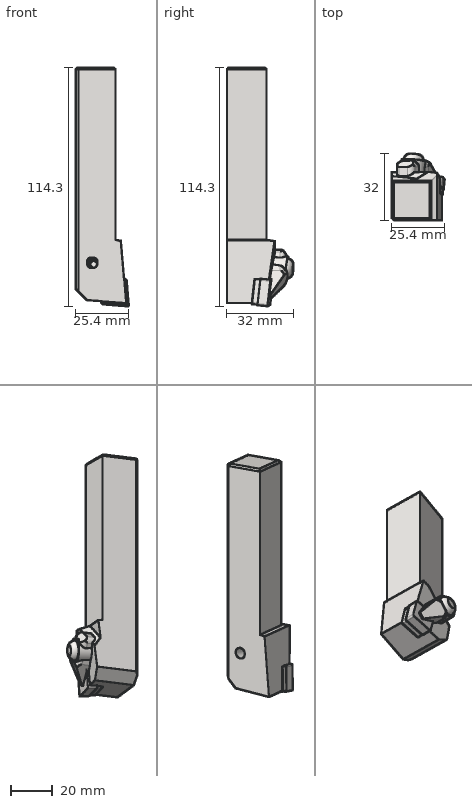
import cadquery as cq
import math


length = 114.3
shank_side = 19.1
edge_chamfer = 1.3
top_chamfer = 1.0

shoulder_z = 31.9
shoulder_right_x = 21.6
shoulder_right_z = 31.4
head_tip_x = 24.1
head_tip_z = 1.6
heel_x = 5.3
heel_bottom_z = 3.0
heel_side_z = 8.3
head_depth = 23.1
shoulder_fall = 10.0

tip_x = 25.4
clamp_heading = 54.0
rake = 9.5
rake_start_y = 18.2
ramp_top = 30.0
ramp_foot = 33.5
ramp_foot_y = 20.0

insert_side = 12.9
insert_angle = 80.0
nose_radius = 0.8
insert_thickness = 4.8
insert_heading = 45.0
insert_tilt = 8.4
insert_tip_y = 19.5
shim_thickness = 3.2
shim_margin = 0.2
shim_chamfer = 0.6

clamp_offset = 1.3
clamp_nose = 6.6
clamp_nose_y = 20.9
clamp_front = 18.5
clamp_top_y = 28.9
clamp_heel_top = 28.6
clamp_end = 32.0
clamp_end_y = 25.6
clamp_root_y = 18.9
clamp_width = 10.1
clamp_nose_width = 3.4
clamp_corner = 2.5
clamp_round = 3.4

screw_hole_x = 7.9
screw_hole_z = 20.9
screw_hole_diameter = 5.1
screw_hole_depth = 9.1
screw_end_height = 1.1
screw_end_diameter = 3.2
screw_top_x = 10.7
screw_top_z = 17.8
screw_top_y = 31.7
screw_cap_diameter = 9.8
screw_cap_flat = 5.3
screw_cap_height = 3.0
screw_cap_bulge = 0.4
boss_diameter = 11.4
boss_height = 9.1

clear = 34.3


def heading_vector(heading, rise=0.0):
    """Direction leaving the cutting point, turned up from -X and lifted toward +Y."""
    flat = math.cos(math.radians(rise))
    return cq.Vector(
        -math.cos(math.radians(heading)) * flat,
        math.sin(math.radians(rise)),
        math.sin(math.radians(heading)) * flat,
    )


def clamp_plane():
    """Plane with local x along the clamp from the cutting point and local y along +Y."""
    along = heading_vector(clamp_heading)
    return cq.Plane(origin=(tip_x, 0, 0), xDir=along, normal=along.cross(cq.Vector(0, 1, 0)))


def make_shank():
    shank = cq.Workplane("XY").box(shank_side, shank_side, length - heel_side_z, centered=False)
    return shank.translate((0, 0, heel_side_z)).faces(">Z").chamfer(top_chamfer)


def make_head():
    head = (
        cq.Workplane("XZ")
        .polyline([
            (0, shoulder_z),
            (shank_side, shoulder_z),
            (shoulder_right_x, shoulder_right_z),
            (head_tip_x, head_tip_z),
            (heel_x, heel_bottom_z),
            (0, heel_side_z),
        ])
        .close()
        .extrude(-head_depth)
    )
    return head.cut(shoulder_slope()).cut(rake_and_recess())


def shoulder_slope():
    drop = clear * math.tan(math.radians(shoulder_fall))
    return (
        cq.Workplane("YZ")
        .polyline([
            (shank_side, shoulder_z),
            (shank_side + clear, shoulder_z - drop),
            (shank_side + clear, shoulder_z),
        ])
        .close()
        .extrude(clear)
    )


def rake_and_recess():
    """Material above the raked back, the ramp and the floor of the clamp recess."""
    slope = math.tan(math.radians(rake))
    far = ramp_foot + clear
    profile = [
        (-clear, rake_start_y - clear * slope),
        (ramp_top, rake_start_y + ramp_top * slope),
        (ramp_foot, ramp_foot_y),
        (far, ramp_foot_y + clear * slope),
        (far, head_depth + clear),
        (-clear, head_depth + clear),
    ]
    return cq.Workplane(clamp_plane()).polyline(profile).close().extrude(clear, both=True)


def make_edge_chamfer():
    """Long bevel on the front left edge, over the whole tool."""
    return (
        cq.Workplane("XY")
        .polyline([(0, 0), (edge_chamfer, 0), (0, edge_chamfer)])
        .close()
        .extrude(length)
    )


def insert_plane(depth):
    """Tilted plane of the insert top, lowered by depth, with its origin at the nose centre."""
    along = heading_vector(insert_heading, insert_tilt)
    across = along.cross(cq.Vector(0, 1, 0)).normalized()
    normal = across.cross(along)
    nose_centre = cq.Vector(tip_x - nose_radius, insert_tip_y, nose_radius)
    return cq.Plane(origin=nose_centre - normal * depth, xDir=along, normal=normal)


def rhombic_plate(depth, thickness, margin):
    """Rounded rhombus with its sides set in by margin, its top at the given depth."""
    half_angle = math.radians(insert_angle / 2)
    half_length = insert_side * math.cos(half_angle)
    half_width = insert_side * math.sin(half_angle)
    centre = half_length - nose_radius / math.sin(half_angle)
    scale = 1 - 2 * margin / (insert_side * math.sin(2 * half_angle))
    plate = (
        cq.Workplane(insert_plane(depth))
        .polyline([
            (centre - half_length * scale, 0),
            (centre, -half_width * scale),
            (centre + half_length * scale, 0),
            (centre, half_width * scale),
        ])
        .close()
        .extrude(-thickness)
    )
    upright = plate.edges(cq.selectors.ParallelDirSelector(insert_plane(depth).zDir))
    return upright.fillet(nose_radius)


def make_insert():
    return rhombic_plate(0, insert_thickness, 0)


def make_shim():
    shim = rhombic_plate(insert_thickness, shim_thickness, shim_margin)
    underside = shim.faces(cq.selectors.DirectionMinMaxSelector(cq.Vector(0, -1, 0)))
    return underside.chamfer(shim_chamfer)


def clamp_side():
    """Clamp shape along its length: sloped finger, level back and bevelled heel."""
    return (
        cq.Workplane(clamp_plane())
        .polyline([
            (clamp_nose, clamp_root_y),
            (clamp_nose, clamp_nose_y),
            (clamp_front, clamp_top_y),
            (clamp_heel_top, clamp_top_y),
            (clamp_end, clamp_end_y),
            (clamp_end, clamp_root_y),
        ])
        .close()
        .extrude(clamp_width, both=True)
    )


def clamp_plan():
    """Clamp shape seen along Y: narrow finger widening to a round-cornered body."""
    centre = clamp_plane().toWorldCoords((0, 0, clamp_offset))
    plane = cq.Plane(origin=centre, xDir=heading_vector(clamp_heading), normal=(0, 1, 0))
    return (
        cq.Workplane(plane)
        .polyline([
            (clamp_nose, -clamp_nose_width / 2),
            (clamp_front, -clamp_width / 2),
            (clamp_end, -clamp_width / 2),
            (clamp_end, clamp_width / 2),
            (clamp_front, clamp_width / 2),
            (clamp_nose, clamp_nose_width / 2),
        ])
        .close()
        .extrude(clamp_top_y)
        .edges("|Y")
        .edges(cq.selectors.DirectionMinMaxSelector(heading_vector(clamp_heading)))
        .fillet(clamp_corner)
    )


def clamp_section():
    """Clamp shape seen along its length: upright sides with a rounded back."""
    along = heading_vector(clamp_heading)
    centre = clamp_plane().toWorldCoords((0, 0, clamp_offset))
    plane = cq.Plane(origin=centre, xDir=along.cross(cq.Vector(0, 1, 0)), normal=along)
    return (
        cq.Workplane(plane)
        .rect(clamp_width, 2 * clamp_top_y)
        .extrude(clear)
        .edges(cq.selectors.ParallelDirSelector(along))
        .fillet(clamp_round)
    )


def make_clamp():
    return clamp_side().intersect(clamp_plan()).intersect(clamp_section())


def screw_ends():
    """Centre of the hole at the front of the head, and of the flat on the screw head."""
    return cq.Vector(screw_hole_x, 0, screw_hole_z), cq.Vector(screw_top_x, screw_top_y, screw_top_z)


def screw_plane(distance):
    """Plane across the clamp screw, at a distance in from the front of the hole."""
    start, top = screw_ends()
    axis = (top - start).normalized()
    return cq.Plane(origin=start + axis * distance, xDir=(1, 0, 0), normal=axis)


def make_screw_boss():
    """Round boss of the clamp with the domed screw head on top."""
    start, top = screw_ends()
    axis = top - start
    cap_radius = screw_cap_diameter / 2
    flat_radius = screw_cap_flat / 2
    bulge = ((cap_radius + flat_radius) / 2 + screw_cap_bulge, -screw_cap_height / 2 + screw_cap_bulge)
    across = axis.cross(cq.Vector(0, 0, 1))
    plane = cq.Plane(origin=top, xDir=across, normal=across.cross(axis))
    return (
        cq.Workplane(plane)
        .lineTo(flat_radius, 0)
        .threePointArc(bulge, (cap_radius, -screw_cap_height))
        .lineTo(boss_diameter / 2, -screw_cap_height)
        .lineTo(boss_diameter / 2, -screw_cap_height - boss_height)
        .lineTo(0, -screw_cap_height - boss_height)
        .close()
        .revolve(360, (0, 0), (0, 1))
    )


def make_screw_hole():
    """Blind hole whose floor carries the tapered end of the screw."""
    hole = (
        cq.Workplane(screw_plane(-screw_hole_depth))
        .circle(screw_hole_diameter / 2)
        .extrude(2 * screw_hole_depth)
    )
    end = (
        cq.Workplane(screw_plane(screw_hole_depth))
        .circle(screw_hole_diameter / 2)
        .workplane(offset=-screw_end_height)
        .circle(screw_end_diameter / 2)
        .loft()
    )
    return hole.cut(end)


insert = make_insert()

holder = (
    make_shank()
    .union(make_head())
    .cut(make_edge_chamfer())
    .union(make_shim())
    .union(make_clamp())
    .union(make_screw_boss())
    .cut(make_screw_hole())
    .cut(insert)
)

result = cq.Compound.makeCompound([holder.val(), insert.val()])